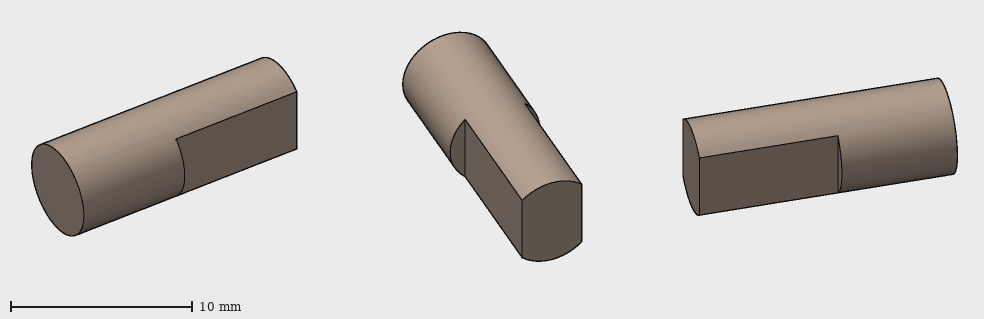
import cadquery as cq

pin_length = 14.5
pin_diameter = 5.4
flat_length = 7.9
width_across_flats = 3.6

shank_length = pin_length - flat_length


def cylinder_along_y(length):
    """Full-diameter round bar starting at Y = 0 and running toward +Y."""
    return cq.Workplane("XZ").circle(pin_diameter / 2).extrude(-length)


def flatted_tang():
    """Full-length bar narrowed in X to the width across the flats."""
    slab = cq.Workplane("XZ").rect(width_across_flats, pin_diameter).extrude(-pin_length)
    return cylinder_along_y(pin_length).intersect(slab)


result = cylinder_along_y(shank_length).union(flatted_tang())